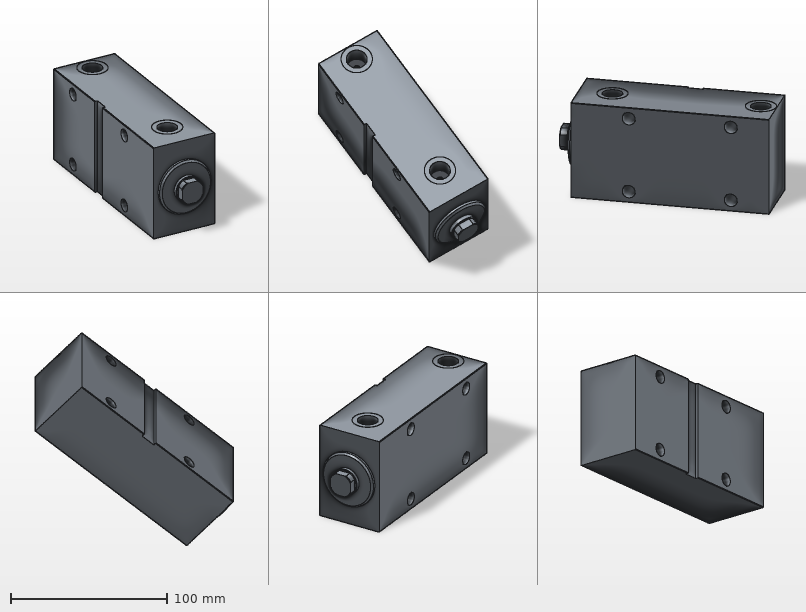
import cadquery as cq

block_length = 130.0
block_depth = 45.0
block_height = 65.0
edge_chamfer = 0.4

groove_start = 53.5
groove_width = 10.0
groove_depth = 2.0

mount_hole_diameter = 8.5
mount_hole_spacing_z = 50.0
mount_hole_positions_x = (25.0, 92.0)

port_positions_x = (10.5, 108.0)
seal_face_diameter = 20.0
seal_face_depth = 0.1
port_diameter = 13.2
port_depth = 12.0
passage_diameter = 4.0

rod_diameter = 18.0
rod_start = 5.0
rod_shoulder_length = 3.0
rod_chamfer = 0.5
rod_end_diameter = rod_diameter - 2 * rod_chamfer
rod_end_across_flats = 15.0
rod_end_length = 5.0
rod_end_chamfer = 0.4

gland_diameter = 38.0
gland_thickness = 3.0
gland_chamfer = 1.3

rod_shoulder_x = block_length + gland_thickness + rod_shoulder_length


def cylinder_along_x(diameter, start, length):
    return cq.Workplane("YZ", origin=(start, 0, 0)).circle(diameter / 2).extrude(length)


def hole_down(x, diameter, top, bottom):
    return cq.Workplane("XY", origin=(x, 0, bottom)).circle(diameter / 2).extrude(top - bottom)


def port_cutter(x):
    """Shallow seal face, port bore and a narrow passage down to the rod bore."""
    top = block_height / 2
    seal_face = hole_down(x, seal_face_diameter, top, top - seal_face_depth)
    bore = hole_down(x, port_diameter, top, top - port_depth)
    passage = hole_down(x, passage_diameter, top, 0)
    return seal_face.union(bore).union(passage)


def make_housing():
    block = (
        cq.Workplane("XY")
        .box(block_length, block_depth, block_height, centered=(False, True, True))
        .edges("|X")
        .chamfer(edge_chamfer)
    )
    groove = cq.Workplane("XY").box(groove_width, 2 * groove_depth, block_height, centered=(False, True, True))
    block = block.cut(groove.translate((groove_start, -block_depth / 2, 0)))

    mount_points = [
        (x, side * mount_hole_spacing_z / 2)
        for x in mount_hole_positions_x
        for side in (-1, 1)
    ]
    mount_holes = (
        cq.Workplane("XZ")
        .pushPoints(mount_points)
        .circle(mount_hole_diameter / 2)
        .extrude(block_depth / 2, both=True)
    )
    block = block.cut(mount_holes)

    for x in port_positions_x:
        block = block.cut(port_cutter(x))
    return block.cut(cylinder_along_x(rod_diameter, rod_start, block_length - rod_start))


def make_gland():
    ring = cylinder_along_x(gland_diameter, block_length, gland_thickness)
    ring = ring.faces(">X").edges().chamfer(gland_chamfer)
    return ring.cut(cylinder_along_x(rod_diameter, block_length, gland_thickness))


def make_rod():
    body = cylinder_along_x(rod_diameter, rod_start, rod_shoulder_x - rod_start)
    body = body.faces(">X").edges().chamfer(rod_chamfer)

    rod_end = cylinder_along_x(rod_end_diameter, rod_shoulder_x, rod_end_length)
    rod_end = rod_end.faces(">X").edges().chamfer(rod_end_chamfer)
    flats = cq.Workplane("YZ", origin=(rod_shoulder_x, 0, 0)).rect(rod_end_across_flats, rod_end_across_flats)
    return body.union(rod_end.intersect(flats.extrude(rod_end_length)))


housing = make_housing()
gland = make_gland()
rod = make_rod()

result = cq.Compound.makeCompound([housing.val(), gland.val(), rod.val()])